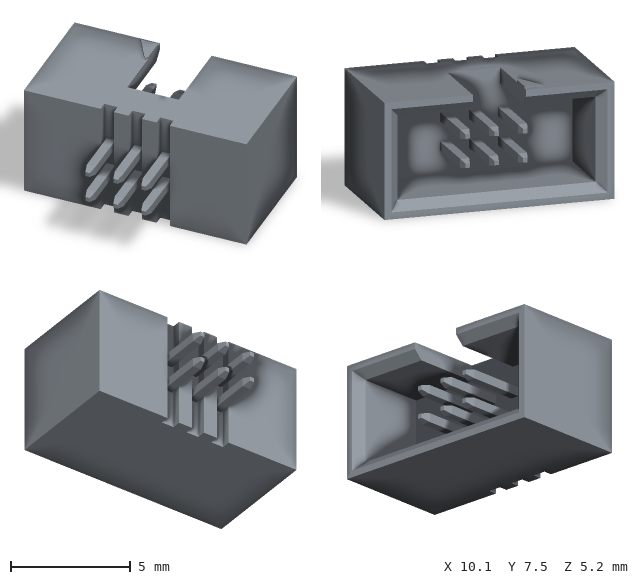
import cadquery as cq
import math

HOUSING_WIDTH = 10.11
HOUSING_DEPTH = 5.4
HOUSING_HEIGHT = 5.1

WALL = 0.7
CAVITY_DEPTH = 3.5
LEAD_IN = 0.4

NOTCH_WIDTH = 2.34

PITCH = 1.27
COLUMNS = 3
ROWS = 2
PIN_SIZE = 0.4
PIN_TIP_SIZE = 0.2
PIN_TAPER = 0.4
PIN_PROTRUSION = 2.1
PIN_RECESS = 0.4

GROOVE_WIDTH = 0.6
GROOVE_DEPTH = 0.4

MARKER_LENGTH = 1.2
MARKER_THICKNESS = 0.1
MARKER_SETBACK = 0.2

CAVITY_WIDTH = HOUSING_WIDTH - 2 * WALL
CAVITY_HEIGHT = HOUSING_HEIGHT - 2 * WALL
CAVITY_FLOOR = HOUSING_DEPTH - CAVITY_DEPTH
TOP = HOUSING_HEIGHT / 2

COLUMN_X = [(i - (COLUMNS - 1) / 2) * PITCH for i in range(COLUMNS)]
ROW_Z = [(i - (ROWS - 1) / 2) * PITCH for i in range(ROWS)]
PIN_POSITIONS = [(x, z) for x in COLUMN_X for z in ROW_Z]
PIN_START = -PIN_PROTRUSION
PIN_END = HOUSING_DEPTH - PIN_RECESS


def box(width, y_start, y_end, height, x=0, z=0):
    """Box running from y_start to y_end, centred on (x, z)."""
    length = y_end - y_start
    return cq.Workplane("XY").box(width, length, height).translate((x, y_start + length / 2, z))


def taper(y_large, width, height, y_small, small_width, small_height):
    """Pyramid frustum along Y between two rectangles centred on the Y axis."""
    return (
        cq.Workplane("XZ", origin=(0, y_large, 0))
        .rect(width, height)
        .workplane(offset=y_large - y_small)
        .rect(small_width, small_height)
        .loft(ruled=True, combine=True)
    )


def make_cavity():
    straight = box(CAVITY_WIDTH, CAVITY_FLOOR, HOUSING_DEPTH, CAVITY_HEIGHT)
    mouth = taper(
        HOUSING_DEPTH,
        CAVITY_WIDTH + 2 * LEAD_IN,
        CAVITY_HEIGHT + 2 * LEAD_IN,
        HOUSING_DEPTH - LEAD_IN,
        CAVITY_WIDTH,
        CAVITY_HEIGHT,
    )
    return straight.union(mouth)


def make_marker():
    """Equilateral triangle over the first pin column, pointing towards the front face."""
    half_base = MARKER_LENGTH / math.sqrt(3)
    base_y = HOUSING_DEPTH - MARKER_SETBACK
    marker_x = COLUMN_X[0]
    return (
        cq.Workplane("XY", origin=(0, 0, TOP))
        .moveTo(marker_x - half_base, base_y)
        .lineTo(marker_x + half_base, base_y)
        .lineTo(marker_x, base_y - MARKER_LENGTH)
        .close()
        .extrude(MARKER_THICKNESS)
    )


def make_notch():
    """Slot from inside the cavity up through the top wall and the marker."""
    notch_height = TOP + MARKER_THICKNESS
    return box(NOTCH_WIDTH, CAVITY_FLOOR, HOUSING_DEPTH, notch_height, z=notch_height / 2)


def make_housing():
    housing = box(HOUSING_WIDTH, 0, HOUSING_DEPTH, HOUSING_HEIGHT)
    housing = housing.union(make_marker())
    housing = housing.cut(make_cavity()).cut(make_notch())
    for x in COLUMN_X:
        housing = housing.cut(box(GROOVE_WIDTH, 0, GROOVE_DEPTH, HOUSING_HEIGHT, x=x))
    for x, z in PIN_POSITIONS:
        housing = housing.cut(box(PIN_SIZE, 0, CAVITY_FLOOR, PIN_SIZE, x=x, z=z))
    return housing


def make_pin(x, z):
    shank_start = PIN_START + PIN_TAPER
    shank_end = PIN_END - PIN_TAPER
    pin = box(PIN_SIZE, shank_start, shank_end, PIN_SIZE)
    for y_large, y_small in ((shank_start, PIN_START), (shank_end, PIN_END)):
        pin = pin.union(taper(y_large, PIN_SIZE, PIN_SIZE, y_small, PIN_TIP_SIZE, PIN_TIP_SIZE))
    return pin.translate((x, 0, z))


housing = make_housing()
pins = [make_pin(x, z) for x, z in PIN_POSITIONS]

result = cq.Compound.makeCompound([housing.val(), *[pin.val() for pin in pins]])